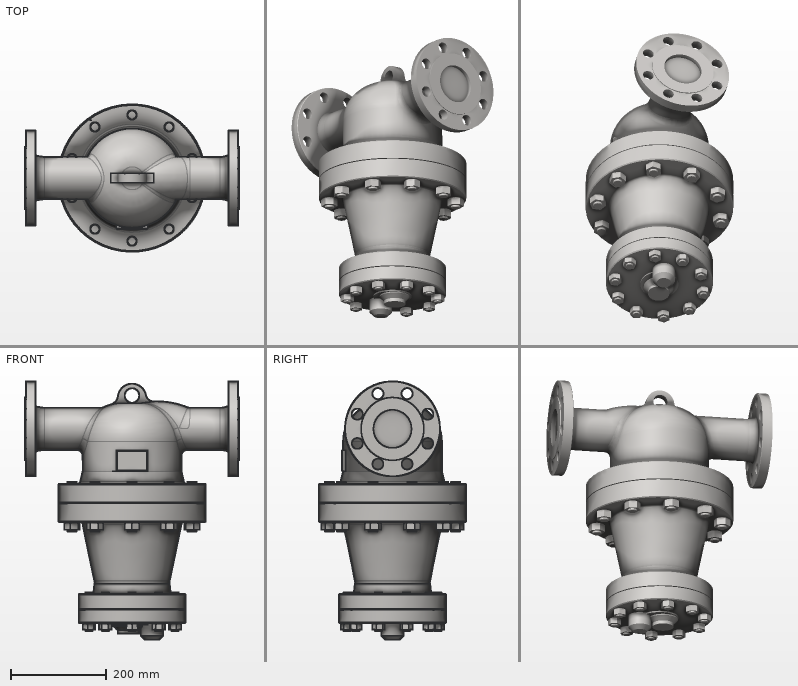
import cadquery as cq
import math

FACE_TO_FACE = 450.0

PIPE_DIA = 89.0
PIPE_RADIUS = PIPE_DIA / 2
END_FLANGE_DIA = 200.0
RAISED_FACE_DIA = 132.0
RAISED_FACE_HEIGHT = 2.0
END_FLANGE_BACK_X = 202.0
END_FLANGE_CHAMFER = 1.0
NECK_END_X = 184.0
NECK_RADIUS = 48.0
NECK_FILLET = 2.5
BORE_DIA = 80.0
BORE_DEPTH = 10.0
END_HOLE_DIA = 23.0
END_HOLE_CIRCLE = 160.0
END_HOLE_COUNT = 8

DOME_FLAT_RADIUS = 24.0
DOME_CORNER_RADIUS = 80.0
BODY_RADIUS = DOME_FLAT_RADIUS + DOME_CORNER_RADIUS
DOME_BASE_Z = -26.0
DOME_TOP_Z = DOME_BASE_Z + DOME_CORNER_RADIUS
BODY_FLARE_Z = -89.0
BODY_FOOT_RADIUS = 109.0
BODY_FOOT_FILLET = 4.5
JUNCTION_FILLET = 12.0
JOINT_TOLERANCE = 0.1

MAIN_FLANGE_RADIUS = 155.0
MAIN_TOP_Z = -115.0
MAIN_JOINT_Z = -155.5
MAIN_BOTTOM_Z = -196.0
MAIN_GASKET_RADIUS = 120.0
FLANGE_CHAMFER = 2.0
GASKET_GAP = 2.0

CONE_FILLET = 4.0
CONE_BOTTOM_Z = -318.0
CONE_BOTTOM_RADIUS = 79.5
WELD_TOP_Z = -321.5
WELD_BOTTOM_Z = -325.0
LOWER_NECK_Z = -327.0
WELD_RADIUS = 157.5 / 2
LOWER_NECK_RADIUS = 162.5 / 2
LOWER_NECK_FILLET = 3.0

LOWER_FLANGE_RADIUS = 225.0 / 2
LOWER_TOP_Z = -346.0
LOWER_JOINT_Z = -379.0
LOWER_BOTTOM_Z = -408.5
LOWER_GASKET_RADIUS = 85.0

STUD_COUNT = 10
STUD_CHAMFER = 1.0
MAIN_STUD_DIA = 20.0
MAIN_STUD_CIRCLE = 265.0
MAIN_STUD_PROJECTION = 4.0
MAIN_NUT_FLATS = 30.0
MAIN_NUT_HEIGHT = 16.0
LOWER_STUD_DIA = 16.0
LOWER_STUD_CIRCLE = 190.0
LOWER_STUD_PROJECTION = 3.0
LOWER_NUT_FLATS = 24.0
LOWER_NUT_HEIGHT = 13.0
NUT_FACE_RATIO = 0.925
NUT_CHAMFER_ANGLE = 30.0

PAD_RADIUS = 40.0
PAD_BOTTOM_Z = -411.5
BOSS_X = -7.5
BOSS_TOP_RADIUS = 31.5
BOSS_RIM_Z = -414.0
BOSS_RADIUS = 22.5
BOSS_CONE_Z = -423.0
BOSS_BOTTOM_Z = -430.0
PLUG_X = 42.0
PLUG_RADIUS = 24.0
PLUG_TIP_RADIUS = 15.0
PLUG_BOTTOM_Z = -443.0

HUMP_BEND_RADIUS = 129.0
HUMP_ANGLE = 21.8
RETURN_BEND_X = 122.0
RETURN_BEND_RADIUS = 61.0
HUMP_START_ANGLE = 35.0
HUMP_RADIUS = PIPE_RADIUS - 0.01

LUG_CENTER_Z = 65.0
LUG_RADIUS = 30.0
LUG_HOLE_Z = 70.0
LUG_HOLE_DIA = 30.0
LUG_THICKNESS = 20.0
LUG_DOME_FILLET = 20.0
LUG_HUMP_FILLET = 16.0

PLATE_WIDTH = 66.0
PLATE_TOP_Z = -44.5
PLATE_BOTTOM_Z = -88.5
PLATE_FRONT_Y = -107.0
PLATE_CHAMFER = 2.0
PLATE_BACK_Y = -95.0


def upper_body():
    """Dome, cylinder and flared foot, ending just inside the main flange."""
    base_z = MAIN_TOP_Z - FLANGE_CHAMFER
    corner = DOME_CORNER_RADIUS * math.sqrt(0.5)
    return (
        cq.Workplane("XZ")
        .moveTo(0, base_z)
        .lineTo(BODY_FOOT_RADIUS + BODY_FOOT_FILLET, base_z)
        .lineTo(BODY_FOOT_RADIUS + BODY_FOOT_FILLET, MAIN_TOP_Z)
        .radiusArc((BODY_FOOT_RADIUS, MAIN_TOP_Z + BODY_FOOT_FILLET), BODY_FOOT_FILLET)
        .lineTo(BODY_RADIUS, BODY_FLARE_Z)
        .lineTo(BODY_RADIUS, DOME_BASE_Z)
        .threePointArc(
            (DOME_FLAT_RADIUS + corner, DOME_BASE_Z + corner),
            (DOME_FLAT_RADIUS, DOME_TOP_Z),
        )
        .lineTo(0, DOME_TOP_Z)
        .close()
        .revolve(360, (0, 0), (0, 1))
    )


def straight_pipe():
    """Pipe through the body from the inlet neck to the outlet neck."""
    return cq.Workplane("YZ").circle(PIPE_RADIUS).extrude(NECK_END_X, both=True)


def hump_arch_center():
    """X and Z of the center of the bend that arches over the dome."""
    bend_angle = math.radians(HUMP_ANGLE)
    center_distance = HUMP_BEND_RADIUS + RETURN_BEND_RADIUS
    arch_x = RETURN_BEND_X - center_distance * math.sin(bend_angle)
    arch_z = RETURN_BEND_RADIUS - center_distance * math.cos(bend_angle)
    return arch_x, arch_z


def hump():
    """Pipe that leaves the outlet axis, bends up and arches over into the dome."""
    bend_angle = math.radians(HUMP_ANGLE)
    arch_x, arch_z = hump_arch_center()

    def arch_point(degrees):
        angle = math.radians(degrees)
        return arch_x + HUMP_BEND_RADIUS * math.sin(angle), arch_z + HUMP_BEND_RADIUS * math.cos(angle)

    return_middle = (
        RETURN_BEND_X - RETURN_BEND_RADIUS * math.sin(bend_angle / 2),
        RETURN_BEND_RADIUS * (1 - math.cos(bend_angle / 2)),
    )
    center_line = (
        cq.Workplane("XZ")
        .moveTo(RETURN_BEND_X, 0)
        .threePointArc(return_middle, arch_point(HUMP_ANGLE))
        .threePointArc(arch_point(0), arch_point(-HUMP_START_ANGLE))
    )
    return cq.Workplane("YZ", origin=(RETURN_BEND_X, 0, 0)).circle(HUMP_RADIUS).sweep(center_line)


def body_with_pipes():
    """Upper body joined to the pipes, with the joints blended by a fillet."""
    body = upper_body()
    shell = body.val().Shells()[0]
    joined = body.union(straight_pipe().union(hump()))

    def is_joint(edge):
        middle = cq.Vertex.makeVertex(*edge.positionAt(0.5).toTuple())
        return edge.geomType() not in ("LINE", "CIRCLE") and middle.distance(shell) < JOINT_TOLERANCE

    joints = [edge for edge in joined.edges().vals() if is_joint(edge)]
    return joined.newObject(joints).fillet(JUNCTION_FILLET)


def end_flange():
    """End flange with raised face and bolt holes, on the +X side."""
    radius = END_FLANGE_DIA / 2
    face_x = FACE_TO_FACE / 2
    front_x = face_x - RAISED_FACE_HEIGHT
    flange = (
        cq.Workplane("XY")
        .moveTo(END_FLANGE_BACK_X, 0)
        .lineTo(END_FLANGE_BACK_X, radius - END_FLANGE_CHAMFER)
        .lineTo(END_FLANGE_BACK_X + END_FLANGE_CHAMFER, radius)
        .lineTo(front_x, radius)
        .lineTo(front_x, RAISED_FACE_DIA / 2)
        .lineTo(face_x, RAISED_FACE_DIA / 2)
        .lineTo(face_x, 0)
        .close()
        .revolve(360, (0, 0), (1, 0))
    )
    holes = (
        cq.Workplane("YZ", origin=(END_FLANGE_BACK_X, 0, 0))
        .polarArray(END_HOLE_CIRCLE / 2, 180 / END_HOLE_COUNT, 360, END_HOLE_COUNT)
        .circle(END_HOLE_DIA / 2)
        .extrude(face_x - END_FLANGE_BACK_X)
    )
    return flange.cut(holes)


def outlet_neck():
    """Flared neck on the +X side, its outline an arc that leaves the pipe tangentially."""
    length = END_FLANGE_BACK_X - NECK_END_X
    rise = NECK_RADIUS - PIPE_RADIUS
    flare_radius = (length**2 + rise**2) / (2 * rise)
    return (
        cq.Workplane("XY")
        .moveTo(NECK_END_X, 0)
        .lineTo(NECK_END_X, PIPE_RADIUS)
        .radiusArc((END_FLANGE_BACK_X, NECK_RADIUS), -flare_radius)
        .lineTo(END_FLANGE_BACK_X, 0)
        .close()
        .revolve(360, (0, 0), (1, 0))
    )


def inlet_neck():
    """Conical neck on the -X side, filleted into the back of its flange."""
    fillet_x = -END_FLANGE_BACK_X + NECK_FILLET
    return (
        cq.Workplane("XY")
        .moveTo(-NECK_END_X, 0)
        .lineTo(-NECK_END_X, PIPE_RADIUS)
        .lineTo(fillet_x, NECK_RADIUS - NECK_FILLET / 2)
        .radiusArc((-END_FLANGE_BACK_X, NECK_RADIUS + NECK_FILLET / 2), NECK_FILLET)
        .lineTo(-END_FLANGE_BACK_X, 0)
        .close()
        .revolve(360, (0, 0), (1, 0))
    )


def bore():
    """Blind bore in each end face."""
    face_x = FACE_TO_FACE / 2
    inlet = cq.Workplane("YZ", origin=(-face_x, 0, 0)).circle(BORE_DIA / 2).extrude(BORE_DEPTH)
    return inlet.union(inlet.mirror("YZ"))


def flange_pair(radius, gasket_radius, top_z, joint_z, bottom_z):
    """Two bolted flanges with chamfered outer rims and a narrow gap outside the gasket."""
    pair = (
        cq.Workplane("XY", origin=(0, 0, bottom_z))
        .circle(radius)
        .extrude(top_z - bottom_z)
        .edges()
        .chamfer(FLANGE_CHAMFER)
    )
    gap = (
        cq.Workplane("XY", origin=(0, 0, joint_z - GASKET_GAP / 2))
        .circle(radius)
        .circle(gasket_radius)
        .extrude(GASKET_GAP)
    )
    return pair.cut(gap)


def lower_body():
    """Cone between the two flange pairs, with the weld band and the flared lower neck."""
    return (
        cq.Workplane("XZ")
        .moveTo(0, MAIN_BOTTOM_Z)
        .lineTo(BODY_RADIUS + CONE_FILLET, MAIN_BOTTOM_Z)
        .radiusArc((BODY_RADIUS, MAIN_BOTTOM_Z - CONE_FILLET), -CONE_FILLET)
        .lineTo(CONE_BOTTOM_RADIUS, CONE_BOTTOM_Z)
        .lineTo(WELD_RADIUS, WELD_TOP_Z)
        .lineTo(WELD_RADIUS, WELD_BOTTOM_Z)
        .lineTo(CONE_BOTTOM_RADIUS, LOWER_NECK_Z)
        .lineTo(LOWER_NECK_RADIUS, LOWER_TOP_Z + LOWER_NECK_FILLET)
        .radiusArc((LOWER_NECK_RADIUS + LOWER_NECK_FILLET, LOWER_TOP_Z), -LOWER_NECK_FILLET)
        .lineTo(0, LOWER_TOP_Z)
        .close()
        .revolve(360, (0, 0), (0, 1))
    )


def nut(flats, height, top_z):
    """Hexagon nut hanging below top_z, its corners chamfered at the top face."""
    corner_radius = flats / math.sqrt(3)
    face_radius = NUT_FACE_RATIO * flats / 2
    chamfer_height = (corner_radius - face_radius) * math.tan(math.radians(NUT_CHAMFER_ANGLE))
    envelope = (
        cq.Workplane("XZ")
        .moveTo(0, top_z)
        .lineTo(face_radius, top_z)
        .lineTo(corner_radius, top_z - chamfer_height)
        .lineTo(corner_radius, top_z - height)
        .lineTo(0, top_z - height)
        .close()
        .revolve(360, (0, 0), (0, 1))
    )
    hexagon = cq.Workplane("XY", origin=(0, 0, top_z)).polygon(6, 2 * corner_radius).extrude(-height)
    return hexagon.intersect(envelope)


def add_studs(part, circle_dia, stud_dia, projection, nut_flats, nut_height, top_z, bottom_z):
    """Ring of studs through a flange pair, a nut below each, the first one at +Y."""
    end_z = bottom_z - nut_height - projection
    stud = (
        cq.Workplane("XY", origin=(0, 0, end_z))
        .circle(stud_dia / 2)
        .extrude(top_z + projection - end_z)
        .edges()
        .chamfer(STUD_CHAMFER)
        .union(nut(nut_flats, nut_height, bottom_z))
        .translate((circle_dia / 2, 0, 0))
    )
    for index in range(STUD_COUNT):
        part = part.union(stud.rotate((0, 0, 0), (0, 0, 1), 90 + index * 360 / STUD_COUNT))
    return part


def bottom_pad():
    """Flat round pad under the lower flange."""
    pad_plane = cq.Workplane("XY", origin=(0, 0, LOWER_BOTTOM_Z))
    return pad_plane.circle(PAD_RADIUS).extrude(PAD_BOTTOM_Z - LOWER_BOTTOM_Z)


def bottom_boss():
    """Tapered boss beside the body axis."""
    return (
        cq.Workplane("XZ", origin=(BOSS_X, 0, 0))
        .moveTo(0, LOWER_BOTTOM_Z)
        .lineTo(BOSS_TOP_RADIUS, LOWER_BOTTOM_Z)
        .lineTo(BOSS_TOP_RADIUS, BOSS_RIM_Z)
        .lineTo(BOSS_RADIUS, BOSS_CONE_Z)
        .lineTo(BOSS_RADIUS, BOSS_BOTTOM_Z)
        .lineTo(0, BOSS_BOTTOM_Z)
        .close()
        .revolve(360, (0, 0), (0, 1))
    )


def drain_plug():
    """Cylindrical plug with a 45 degree tip."""
    return (
        cq.Workplane("XY", origin=(PLUG_X, 0, PLUG_BOTTOM_Z))
        .circle(PLUG_RADIUS)
        .extrude(LOWER_BOTTOM_Z - PLUG_BOTTOM_Z)
        .faces("<Z")
        .edges()
        .chamfer(PLUG_RADIUS - PLUG_TIP_RADIUS)
    )


def lug_foot(arc_x, arc_z, arc_radius, fillet_radius):
    """Ends of the fillet, on the +X side of the eye, that is tangent to the eye and to an arc below."""
    eye_distance = LUG_RADIUS + fillet_radius
    arc_distance = arc_radius + fillet_radius
    drop = LUG_CENTER_Z - arc_z
    span = math.hypot(arc_x, drop)
    eye_corner = math.acos((eye_distance**2 + span**2 - arc_distance**2) / (2 * eye_distance * span))
    fillet_angle = eye_corner - math.atan2(drop, arc_x)
    fillet_x = eye_distance * math.cos(fillet_angle)
    fillet_z = LUG_CENTER_Z + eye_distance * math.sin(fillet_angle)
    eye_share = LUG_RADIUS / eye_distance
    arc_share = arc_radius / arc_distance
    eye_end = (eye_share * fillet_x, LUG_CENTER_Z + eye_share * (fillet_z - LUG_CENTER_Z))
    foot_end = (arc_x + arc_share * (fillet_x - arc_x), arc_z + arc_share * (fillet_z - arc_z))
    return eye_end, foot_end


def lifting_lug():
    """Eye plate that runs out in fillets, onto the dome at -X and onto the hump at +X."""
    dome_eye, dome_foot = lug_foot(DOME_FLAT_RADIUS, DOME_BASE_Z, DOME_CORNER_RADIUS, LUG_DOME_FILLET)
    hump_eye, hump_foot = lug_foot(*hump_arch_center(), HUMP_BEND_RADIUS + HUMP_RADIUS, LUG_HUMP_FILLET)
    return (
        cq.Workplane("XZ")
        .moveTo(-dome_foot[0], DOME_BASE_Z)
        .lineTo(-dome_foot[0], dome_foot[1])
        .radiusArc((-dome_eye[0], dome_eye[1]), -LUG_DOME_FILLET)
        .threePointArc((0, LUG_CENTER_Z + LUG_RADIUS), hump_eye)
        .radiusArc(hump_foot, -LUG_HUMP_FILLET)
        .lineTo(hump_foot[0], DOME_BASE_Z)
        .close()
        .extrude(LUG_THICKNESS / 2, both=True)
    )


def lug_hole():
    """Eye hole through the lug."""
    return (
        cq.Workplane("XZ")
        .center(0, LUG_HOLE_Z)
        .circle(LUG_HOLE_DIA / 2)
        .extrude(LUG_THICKNESS, both=True)
    )


def name_plate():
    """Flat plate with a bevelled rim on the front of the cylinder."""
    height = PLATE_TOP_Z - PLATE_BOTTOM_Z
    depth = PLATE_BACK_Y - PLATE_FRONT_Y
    return (
        cq.Workplane("XY")
        .box(PLATE_WIDTH, depth, height)
        .translate((0, (PLATE_BACK_Y + PLATE_FRONT_Y) / 2, (PLATE_TOP_Z + PLATE_BOTTOM_Z) / 2))
        .faces("<Y")
        .edges()
        .chamfer(PLATE_CHAMFER)
    )


result = body_with_pipes()
result = result.union(
    flange_pair(MAIN_FLANGE_RADIUS, MAIN_GASKET_RADIUS, MAIN_TOP_Z, MAIN_JOINT_Z, MAIN_BOTTOM_Z)
)
result = result.union(lower_body())
result = result.union(
    flange_pair(LOWER_FLANGE_RADIUS, LOWER_GASKET_RADIUS, LOWER_TOP_Z, LOWER_JOINT_Z, LOWER_BOTTOM_Z)
)
result = add_studs(
    result, MAIN_STUD_CIRCLE, MAIN_STUD_DIA, MAIN_STUD_PROJECTION,
    MAIN_NUT_FLATS, MAIN_NUT_HEIGHT, MAIN_TOP_Z, MAIN_BOTTOM_Z,
)
result = add_studs(
    result, LOWER_STUD_CIRCLE, LOWER_STUD_DIA, LOWER_STUD_PROJECTION,
    LOWER_NUT_FLATS, LOWER_NUT_HEIGHT, LOWER_TOP_Z, LOWER_BOTTOM_Z,
)
result = result.union(bottom_pad()).union(bottom_boss()).union(drain_plug())
result = result.union(name_plate())
result = result.union(outlet_neck()).union(inlet_neck())
result = result.union(end_flange()).union(end_flange().mirror("YZ"))
result = result.union(lifting_lug()).cut(lug_hole()).cut(bore())